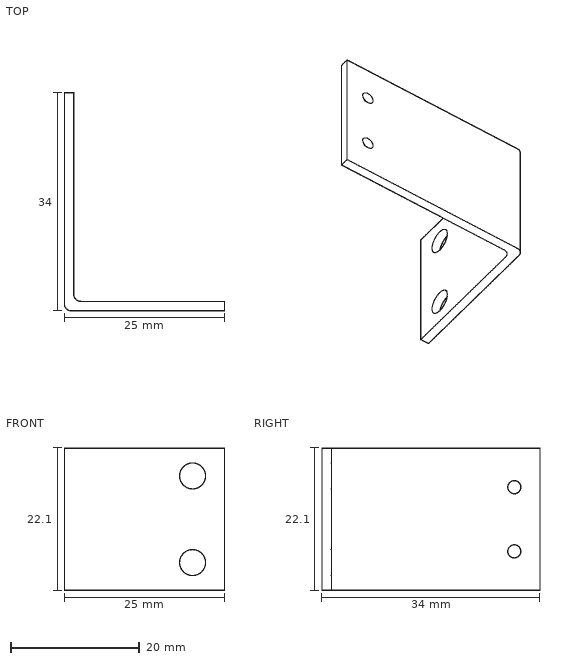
import cadquery as cq

short_leg = 25.0
long_leg = 34.0
height = 22.15
thickness = 1.5
bend_radius_outer = 1.1
bend_radius_inner = 1.1

large_hole_diameter = 4.0
large_hole_spacing = 13.5
large_hole_end_distance = 5.0
small_hole_diameter = 2.0
small_hole_spacing = 10.0
small_hole_end_distance = 4.0


def make_bent_sheet():
    """L-shaped sheet with its sharp outer corner at the origin, rounded at the bend."""
    sheet = (
        cq.Workplane("XY")
        .polyline([
            (0, 0),
            (short_leg, 0),
            (short_leg, thickness),
            (thickness, thickness),
            (thickness, long_leg),
            (0, long_leg),
        ])
        .close()
        .extrude(height)
    )
    outer_corner = cq.selectors.NearestToPointSelector((0, 0, height / 2))
    inner_corner = cq.selectors.NearestToPointSelector((thickness, thickness, height / 2))
    sheet = sheet.edges("|Z").edges(inner_corner).fillet(bend_radius_inner)
    return sheet.edges("|Z").edges(outer_corner).fillet(bend_radius_outer)


def make_hole_pair(position, direction, diameter, spacing):
    """Two cylinders through one leg, stacked along Z about the middle of the height."""
    x, y = position
    cutters = cq.Workplane("XY")
    for side in (-1, 1):
        start = cq.Vector(x, y, height / 2 + side * spacing / 2)
        cutters = cutters.add(cq.Solid.makeCylinder(diameter / 2, thickness, start, direction))
    return cutters.combine()


large_holes = make_hole_pair(
    (short_leg - large_hole_end_distance, 0),
    cq.Vector(0, 1, 0),
    large_hole_diameter,
    large_hole_spacing,
)
small_holes = make_hole_pair(
    (0, long_leg - small_hole_end_distance),
    cq.Vector(1, 0, 0),
    small_hole_diameter,
    small_hole_spacing,
)

result = make_bent_sheet().cut(large_holes).cut(small_holes)